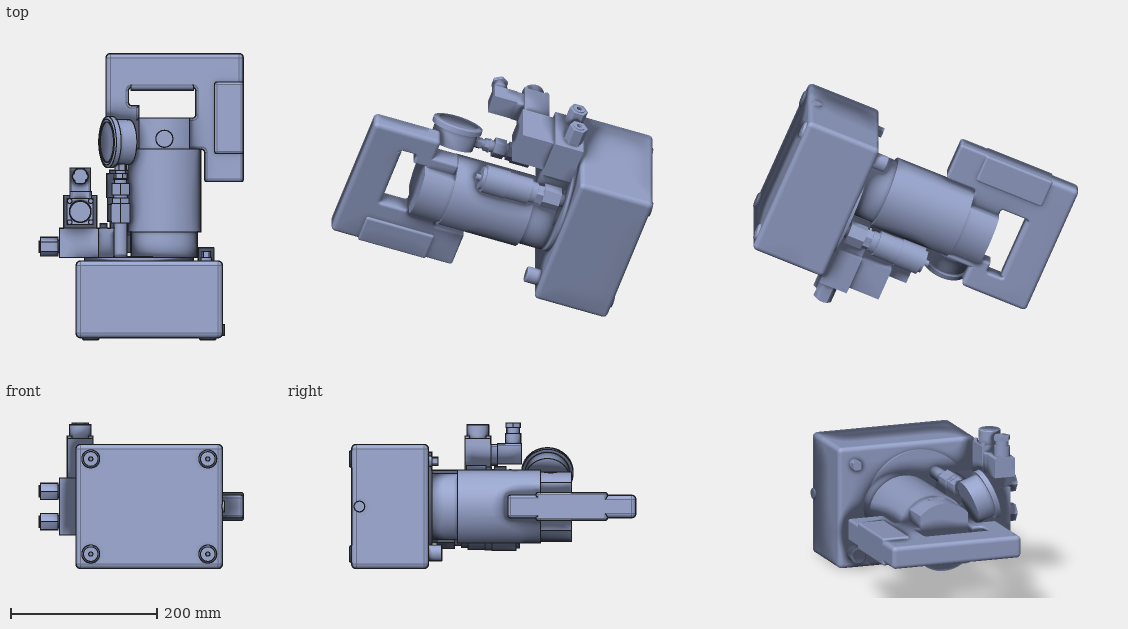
import cadquery as cq
import math


X_AXIS = cq.Vector(1, 0, 0)
Y_AXIS = cq.Vector(0, 1, 0)
Z_AXIS = cq.Vector(0, 0, 1)

OVERALL_X = 279.36
OVERALL_Y = 391.53
OVERALL_Z = 199.49

TANK_WIDTH = 200.4
TANK_DEPTH = 105.2
TANK_HEIGHT = 170.0
TANK_ROUND = 6.5
FOOT_SPACING_X = 160.0
FOOT_SPACING_Z = 130.0
FOOT_BASE_DIA = 24.5
FOOT_TIP_DIA = 20.0
FOOT_HEIGHT = 2.8
FOOT_HOLE_DIA = 5.7
DRAIN_DIA = 14.6
DRAIN_HEIGHT = 2.5
DRAIN_Y = -94.5

COVER_X = -14.2
COVER_DIA = 149.0
COVER_THICKNESS = 4.7
COVER_PAD_DIA = 92.0
COVER_PAD_TOP = 6.0
CAP_X = 77.8
FILLER_Z = -63.5
FILLER_DIA = 22.0
FILLER_HEIGHT = 18.6
FILLER_CHAMFER = 1.2
BREATHER_Z = 62.0
BREATHER_COLLAR_DIA = 14.5
BREATHER_COLLAR_HEIGHT = 4.5
BREATHER_SIZE = 12.0
BREATHER_CHAMFER = 2.0
BREATHER_HEIGHT = 13.0

MOTOR_X = 20.6
MOTOR_RADIUS = 50.0
MOTOR_BOTTOM = 39.8
MOTOR_TOP = 152.8
ADAPTER_RADIUS = 45.3
HEAD_RADIUS = 47.5
HEAD_WIDTH = 69.2
HEAD_TOP = 195.6
HEAD_DISC_DIA = 23.3
HEAD_DISC_Y = 167.0

HANDLE_LEFT = -59.3
HANDLE_RIGHT = 128.7
HANDLE_TOP = OVERALL_Y - TANK_DEPTH - FOOT_HEIGHT
HANDLE_THICKNESS = 30.9
HANDLE_ROUND = 6.0
INNER_ROUND = 3.5
ARM_BOTTOM = 187.6
NECK_BOTTOM = 152.3
NECK_LEFT = -30.0
GRIP_LEFT = 75.5
GRIP_BOTTOM = 108.3
GRIP_TOP = 230.0
SLOT_LEFT = -28.2
SLOT_RIGHT = 63.4
SLOT_TOP = 236.9
SLOT_STEP_Y = 212.4
SLOT_CORNER = 4.0
BAR_LEFT = -25.0
BAR_RIGHT = 60.5
BAR_BOTTOM = 233.0
BAR_ROUND = 7.4
SWITCH_LEFT = 89.4
SWITCH_BOTTOM = 146.6
SWITCH_TOP = 244.5
SWITCH_THICKNESS = 38.2
SWITCH_ROUND = 3.0

MANIFOLD_LEFT = -123.0
MANIFOLD_RIGHT = -69.6
MANIFOLD_BOTTOM = 4.4
MANIFOLD_TOP = 44.9
MANIFOLD_HEIGHT = 78.0
BRIDGE_HEIGHT = 60.0
BRIDGE_SCREW_X = -62.7
BRIDGE_SCREW_DIA = 10.0
BRIDGE_SCREW_HEIGHT = 6.0
PORT_Y = 19.5
PORT_SPACING = 41.6
PORT_NECK_DIA = 17.7
PORT_NECK_LENGTH = 1.5
PORT_HEX = 22.6
PORT_HEX_LENGTH = 24.3
PORT_TIP_X = HANDLE_RIGHT - OVERALL_X
PORT_TIP_DIA = 16.0
PORT_BORE_DIA = 7.7
PORT_BORE_DEPTH = 20.0

SOLENOID_X = -94.4
SOLENOID_Y = 67.4
VALVE_WIDTH = 45.4
VALVE_TOP_Y = 89.7
VALVE_LOW_Z = -29.8
VALVE_HIGH_Z = 32.8
COIL_SIZE = 35.6
COIL_TOP_Z = 93.0
COIL_CAP_DIA = 30.0
COIL_CAP_TOP_Z = 112.4
COIL_CAP_CHAMFER = 0.8
COIL_SCREW_DIA = 6.5
COIL_SCREW_HEIGHT = 3.6
COIL_SCREW_INSET = 3.3
PLUG_BASE_WIDTH = 29.6
PLUG_BASE_SHIFT = 0.6
PLUG_BASE_TOP_Z = 85.0
PLUG_BASE_ROUND = 3.0
PLUG_BASE_END_Y = 94.6
PLUG_BASE_LOW_Z = 56.4
PLUG_BOX_WIDTH = 28.6
PLUG_BOX_END_Y = 127.3
PLUG_BOX_LOW_Z = 57.8
PLUG_BOX_TOP_Z = 85.8
PLUG_BOX_ROUND = 2.5
GLAND_Y = 115.6
GLAND_TOP_Z = OVERALL_Z - TANK_HEIGHT / 2

LINE_X = -39.1
LINE_Z = 41.0
GAUGE_Y = 162.5
GAUGE_TILT = 20.0
GAUGE_FRONT = 20.6
GAUGE_BACK = -12.3
BEZEL_DIA = 70.2
BEZEL_LENGTH = 8.5
LIP_LENGTH = 1.6
LIP_DIA = 62.6
DIAL_DIA = 55.5
DIAL_DEPTH = 1.2
GAUGE_BODY_DIA = 61.4
RELIEF_Z = -41.3


def block(x_range, y_range, z_range):
    """Box between two limits along each axis."""
    size = [high - low for low, high in (x_range, y_range, z_range)]
    corner = (x_range[0], y_range[0], z_range[0])
    return cq.Workplane("XY").box(*size, centered=False).translate(corner)


def rod(start, direction, length, dia, end_dia=None):
    """Round bar from a start point; tapers when an end diameter is given."""
    if end_dia is None:
        return cq.Workplane(cq.Solid.makeCylinder(dia / 2, length, cq.Vector(start), direction))
    cone = cq.Solid.makeCone(dia / 2, end_dia / 2, length, cq.Vector(start), direction)
    return cq.Workplane(cone)


def hex_bar(start, direction, length, across_flats, corner_direction):
    """Hexagonal bar from a start point with one corner in the given direction."""
    plane = cq.Plane(start, corner_direction, direction)
    across_corners = across_flats / math.cos(math.radians(30))
    return cq.Workplane(plane).polygon(6, across_corners).extrude(length)


def joined(bodies):
    """Union of a list of bodies."""
    total = bodies[0]
    for body in bodies[1:]:
        total = total.union(body)
    return total


def centred(size, middle=0.0):
    """Limits of a length centred on a value."""
    return (middle - size / 2, middle + size / 2)


def make_tank():
    tank = block(centred(TANK_WIDTH), (-TANK_DEPTH, 0), centred(TANK_HEIGHT)).edges().fillet(TANK_ROUND)
    for side_x in (-1, 1):
        for side_z in (-1, 1):
            centre = (side_x * FOOT_SPACING_X / 2, -TANK_DEPTH, side_z * FOOT_SPACING_Z / 2)
            foot = rod(centre, -Y_AXIS, FOOT_HEIGHT, FOOT_BASE_DIA, FOOT_TIP_DIA)
            tank = tank.union(foot.cut(rod(centre, -Y_AXIS, FOOT_HEIGHT, FOOT_HOLE_DIA)))
    return tank.union(rod((0, DRAIN_Y, 0), X_AXIS, TANK_WIDTH / 2 + DRAIN_HEIGHT, DRAIN_DIA))


def make_cover():
    disc = rod((COVER_X, 0, 0), Y_AXIS, COVER_THICKNESS, COVER_DIA)
    pad = rod((COVER_X, 0, 0), Y_AXIS, COVER_PAD_TOP, COVER_PAD_DIA)
    filler = rod((CAP_X, 0, FILLER_Z), Y_AXIS, FILLER_HEIGHT, FILLER_DIA)
    filler = filler.faces(">Y").chamfer(FILLER_CHAMFER)
    breather_base = (CAP_X, 0, BREATHER_Z)
    collar = rod(breather_base, Y_AXIS, BREATHER_COLLAR_HEIGHT, BREATHER_COLLAR_DIA)
    breather = block(
        centred(BREATHER_SIZE, CAP_X),
        (0, BREATHER_HEIGHT),
        centred(BREATHER_SIZE, BREATHER_Z),
    )
    breather = breather.edges("|Y").chamfer(BREATHER_CHAMFER)
    return joined([disc, pad, filler, collar, breather])


def make_motor():
    adapter_bottom = COVER_THICKNESS
    adapter_length = MOTOR_BOTTOM - adapter_bottom
    adapter = rod((MOTOR_X, adapter_bottom, 0), Y_AXIS, adapter_length, 2 * ADAPTER_RADIUS)
    housing = rod((MOTOR_X, MOTOR_BOTTOM, 0), Y_AXIS, MOTOR_TOP - MOTOR_BOTTOM, 2 * MOTOR_RADIUS)
    head = rod((MOTOR_X, MOTOR_BOTTOM, 0), Y_AXIS, HEAD_TOP - MOTOR_BOTTOM, 2 * HEAD_RADIUS)
    sides = block(centred(HEAD_WIDTH, MOTOR_X), (MOTOR_BOTTOM, HEAD_TOP), centred(2 * HEAD_RADIUS))
    disc = rod((MOTOR_X, HEAD_DISC_Y, 0), Z_AXIS, HEAD_RADIUS, HEAD_DISC_DIA)
    return joined([adapter, housing, head.intersect(sides), disc])


def make_handle():
    thickness = centred(HANDLE_THICKNESS)
    frame = block((HANDLE_LEFT, HANDLE_RIGHT), (ARM_BOTTOM, HANDLE_TOP), thickness)
    frame = frame.edges().fillet(HANDLE_ROUND)
    grip = (
        cq.Workplane("XY", origin=(0, 0, thickness[0]))
        .moveTo(NECK_LEFT, GRIP_TOP)
        .lineTo(NECK_LEFT, NECK_BOTTOM)
        .lineTo(GRIP_LEFT, NECK_BOTTOM)
        .lineTo(GRIP_LEFT, GRIP_BOTTOM)
        .lineTo(HANDLE_RIGHT, GRIP_BOTTOM)
        .lineTo(HANDLE_RIGHT, GRIP_TOP)
        .close()
        .extrude(HANDLE_THICKNESS)
    )
    inside_corner = cq.selectors.NearestToPointSelector((GRIP_LEFT, NECK_BOTTOM, 0))
    grip = grip.edges(inside_corner).fillet(SLOT_CORNER)
    grip = grip.edges("not >Y").fillet(INNER_ROUND)

    head_left = MOTOR_X - HEAD_WIDTH / 2
    slot = (
        cq.Workplane("XY", origin=(0, 0, -HANDLE_THICKNESS))
        .moveTo(SLOT_LEFT, SLOT_TOP)
        .lineTo(SLOT_RIGHT, SLOT_TOP)
        .lineTo(SLOT_RIGHT, HEAD_TOP)
        .lineTo(head_left, HEAD_TOP)
        .lineTo(head_left, SLOT_STEP_Y)
        .lineTo(SLOT_LEFT, SLOT_STEP_Y)
        .close()
        .extrude(2 * HANDLE_THICKNESS)
    )
    slot = slot.edges("|Z and (<X or >X)").fillet(SLOT_CORNER)
    handle = frame.union(grip).cut(slot)
    margin = 1.0
    for face_z in thickness:
        rim = cq.selectors.BoxSelector(
            (SLOT_LEFT - margin, HEAD_TOP - margin, face_z - margin),
            (SLOT_RIGHT + margin, SLOT_TOP + margin, face_z + margin),
        )
        handle = handle.edges(rim).fillet(INNER_ROUND)

    bar = block((BAR_LEFT, BAR_RIGHT), (BAR_BOTTOM, SLOT_TOP + HANDLE_ROUND), thickness)
    bar = bar.edges("|X and <Y").fillet(BAR_ROUND)
    switch = block((SWITCH_LEFT, HANDLE_RIGHT), (SWITCH_BOTTOM, SWITCH_TOP), centred(SWITCH_THICKNESS))
    switch = switch.edges().fillet(SWITCH_ROUND)
    return joined([handle, bar, switch])


def make_port(port_z):
    """Hose fitting on the -X face of the manifold."""
    start = (MANIFOLD_LEFT, PORT_Y, port_z)
    hex_start = (MANIFOLD_LEFT - PORT_NECK_LENGTH, PORT_Y, port_z)
    length = MANIFOLD_LEFT - PORT_TIP_X
    neck = rod(start, -X_AXIS, PORT_NECK_LENGTH, PORT_NECK_DIA)
    nut = hex_bar(hex_start, -X_AXIS, PORT_HEX_LENGTH, PORT_HEX, Y_AXIS)
    tip = rod(start, -X_AXIS, length, PORT_TIP_DIA)
    bore = rod((PORT_TIP_X, PORT_Y, port_z), X_AXIS, PORT_BORE_DEPTH, PORT_BORE_DIA)
    return joined([neck, nut, tip]).cut(bore)


def make_manifold():
    span_y = (MANIFOLD_BOTTOM, MANIFOLD_TOP)
    manifold = block((MANIFOLD_LEFT, MANIFOLD_RIGHT), span_y, centred(MANIFOLD_HEIGHT))
    bridge = block((MANIFOLD_RIGHT, LINE_X), span_y, centred(BRIDGE_HEIGHT))
    screw = rod((BRIDGE_SCREW_X, MANIFOLD_TOP, 0), Y_AXIS, BRIDGE_SCREW_HEIGHT, BRIDGE_SCREW_DIA)
    ports = [make_port(port_z) for port_z in centred(PORT_SPACING)]
    return joined([manifold, bridge, screw] + ports)


def make_solenoid():
    body = block(
        centred(VALVE_WIDTH, SOLENOID_X),
        (MANIFOLD_TOP, VALVE_TOP_Y),
        (VALVE_LOW_Z, VALVE_HIGH_Z),
    )
    coil_x = centred(COIL_SIZE, SOLENOID_X)
    coil_y = centred(COIL_SIZE, SOLENOID_Y)
    coil = block(coil_x, coil_y, (VALVE_HIGH_Z, COIL_TOP_Z))
    cap = rod((SOLENOID_X, SOLENOID_Y, COIL_TOP_Z), Z_AXIS, COIL_CAP_TOP_Z - COIL_TOP_Z, COIL_CAP_DIA)
    cap = cap.faces(">Z").chamfer(COIL_CAP_CHAMFER)
    valve = joined([body, coil, cap])
    screw_offset = COIL_SIZE / 2 - COIL_SCREW_INSET
    for side_x in (-1, 1):
        for side_y in (-1, 1):
            centre = (SOLENOID_X + side_x * screw_offset, SOLENOID_Y + side_y * screw_offset, COIL_TOP_Z)
            valve = valve.union(rod(centre, Z_AXIS, COIL_SCREW_HEIGHT, COIL_SCREW_DIA))
    return valve


def make_plug():
    """Electrical plug on the +Y side of the coil, with an upright cable gland."""
    base = block(
        centred(PLUG_BASE_WIDTH, SOLENOID_X + PLUG_BASE_SHIFT),
        (SOLENOID_Y, PLUG_BASE_END_Y),
        (PLUG_BASE_LOW_Z, PLUG_BASE_TOP_Z),
    )
    base = base.edges("|Y").fillet(PLUG_BASE_ROUND)
    box = block(
        centred(PLUG_BOX_WIDTH, SOLENOID_X),
        (PLUG_BASE_END_Y, PLUG_BOX_END_Y),
        (PLUG_BOX_LOW_Z, PLUG_BOX_TOP_Z),
    )
    box = box.edges("|Y and >Z").fillet(PLUG_BOX_ROUND)
    collar_dia, collar_top = 21.4, 99.7
    neck_dia, neck_top = 17.7, 108.0
    nut_size = 19.8
    floor = (SOLENOID_X, GLAND_Y, PLUG_BOX_TOP_Z)
    collar = rod(floor, Z_AXIS, collar_top - PLUG_BOX_TOP_Z, collar_dia)
    neck = rod(floor, Z_AXIS, neck_top - PLUG_BOX_TOP_Z, neck_dia)
    nut = hex_bar((SOLENOID_X, GLAND_Y, neck_top), Z_AXIS, GLAND_TOP_Z - neck_top, nut_size, X_AXIS)
    return joined([base, box, collar, neck, nut])


def make_gauge():
    """Round gauge whose dial faces -X and is tilted upward."""
    tilt = math.radians(GAUGE_TILT)
    facing = cq.Vector(-math.cos(tilt), 0, math.sin(tilt))
    centre = cq.Vector(LINE_X, GAUGE_Y, LINE_Z)
    bezel_back = centre + facing * (GAUGE_FRONT - BEZEL_LENGTH)
    body = rod(centre + facing * GAUGE_BACK, facing, GAUGE_FRONT - BEZEL_LENGTH - GAUGE_BACK, GAUGE_BODY_DIA)
    bezel = rod(bezel_back, facing, BEZEL_LENGTH - LIP_LENGTH, BEZEL_DIA)
    lip_start = bezel_back + facing * (BEZEL_LENGTH - LIP_LENGTH)
    lip = rod(lip_start, facing, LIP_LENGTH, BEZEL_DIA, LIP_DIA)
    dial = rod(centre + facing * (GAUGE_FRONT - DIAL_DEPTH), facing, DIAL_DEPTH, DIAL_DIA)
    return joined([body, bezel, lip]).cut(dial)


def make_gauge_line():
    """Pipe and fittings from the cover up to the gauge.

    Round steps are (start Y, end Y, diameter). Hexagons are (start Y, end Y, size across flats,
    turn about Y in degrees from a corner on top).
    """
    round_steps = [
        (0.0, 52.0, 17.7),
        (85.8, 90.0, 19.0),
        (105.9, 111.0, 16.5),
        (111.0, 113.0, 19.5),
        (119.5, 123.6, 13.5),
    ]
    hexagons = [
        (51.6, 78.5, 26.0, 0),
        (78.5, 85.8, 22.4, 0),
        (90.0, 105.9, 23.6, 0),
        (113.0, 119.5, 16.0, 15),
        (123.6, GAUGE_Y - GAUGE_BODY_DIA / 4, 14.0, -15),
    ]
    bodies = []
    for start_y, end_y, dia in round_steps:
        bodies.append(rod((LINE_X, start_y, LINE_Z), Y_AXIS, end_y - start_y, dia))
    for start_y, end_y, size, turn in hexagons:
        corner = cq.Vector(math.sin(math.radians(turn)), 0, math.cos(math.radians(turn)))
        bodies.append(hex_bar((LINE_X, start_y, LINE_Z), Y_AXIS, end_y - start_y, size, corner))
    return joined(bodies)


def make_relief_valve():
    """Relief valve with a nut, a hexagonal neck and round steps as (start Y, end Y, diameter)."""
    steps = [
        (0.0, 11.4, 17.7),
        (45.0, 54.0, 29.0),
        (54.0, 77.0, 35.6),
        (77.0, 86.5, 36.4),
        (86.5, 119.5, 38.4),
        (119.5, 124.0, 31.0),
        (124.0, 130.5, 8.0),
    ]
    nut_start, nut_end, nut_size = 11.4, 35.2, 28.2
    neck_end, neck_size = 45.0, 23.6
    nut = hex_bar((LINE_X, nut_start, RELIEF_Z), Y_AXIS, nut_end - nut_start, nut_size, Z_AXIS)
    neck = hex_bar((LINE_X, nut_end, RELIEF_Z), Y_AXIS, neck_end - nut_end, neck_size, X_AXIS)
    bodies = [nut, neck]
    for start_y, end_y, dia in steps:
        bodies.append(rod((LINE_X, start_y, RELIEF_Z), Y_AXIS, end_y - start_y, dia))
    return joined(bodies)


result = joined([
    make_tank(),
    make_cover(),
    make_motor(),
    make_handle(),
    make_manifold(),
    make_solenoid(),
    make_plug(),
    make_gauge(),
    make_gauge_line(),
    make_relief_valve(),
])